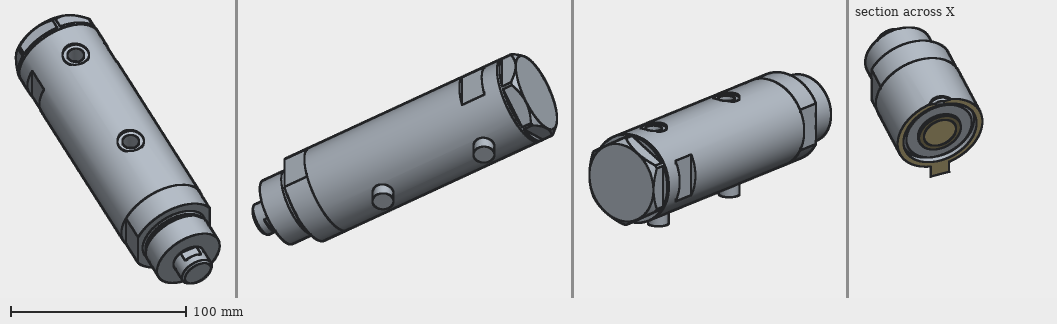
import cadquery as cq
import math


hex_end_x = 9.0
plug_flange_end_x = 10.7
plug_stem_end_x = 34.7
piston_end_x = 97.5
gland_stem_start_x = 102.5
gland_seat_start_x = 105.5
housing_end_x = 139.0
gland_flange_end_x = 154.2
nose_end_x = 172.5
rod_end_x = 184.4

outer_radius = 26.0
bore_radius = 13.0
seat_radius = 22.1
rod_radius = 9.5

gland_end_chamfer = 2.2

across_flats = 46.0
flat_length = 15.0
housing_flat_start_x = 20.8

hex_face_radius = 22.9
hex_chamfer = outer_radius - hex_face_radius

port_positions_x = (30.6, 99.8)
port_radius = 4.8
spotface_radius = 7.5
spotface_depth = 1.3

spigot_positions_x = (35.0, 102.3)
spigot_diameter = 12.0
spigot_bottom_z = -33.4

nose_radius = 20.1
groove_radius = 18.8
groove_floor_start_x = 155.3
groove_floor_end_x = 156.4
nose_start_x = 158.0

tip_across_flats = 16.2
tip_flat_end_x = 178.5
tip_chamfer = 1.3


def cylinder_x(radius, start_x, end_x):
    """Solid cylinder on the X axis."""
    return cq.Workplane("YZ", origin=(start_x, 0, 0)).circle(radius).extrude(end_x - start_x)


def cylinder_z(radius, x, start_z, end_z):
    """Solid upright cylinder that crosses the X axis."""
    return cq.Workplane("XY", origin=(x, 0, start_z)).circle(radius).extrude(end_z - start_z)


def side_cutters(inner_width, start_x, end_x):
    """Two blocks that leave parallel flats facing -Y and +Y."""
    length = end_x - start_x
    offset = (inner_width + outer_radius) / 2
    return (
        cq.Workplane("YZ", origin=(start_x, 0, 0))
        .pushPoints([(-offset, 0), (offset, 0)])
        .rect(outer_radius, 2 * outer_radius)
        .extrude(length)
    )


def make_housing():
    """Stepped-bore barrel with side flats, two spotfaced ports and two spigots."""
    housing = cylinder_x(outer_radius, plug_flange_end_x, housing_end_x)
    housing = housing.cut(
        side_cutters(across_flats, housing_flat_start_x, housing_flat_start_x + flat_length)
    )
    for x in spigot_positions_x:
        housing = housing.union(cylinder_z(spigot_diameter / 2, x, spigot_bottom_z, 0))
    for x in port_positions_x:
        housing = housing.cut(cylinder_z(port_radius, x, 0, outer_radius))
        housing = housing.cut(
            cylinder_z(spotface_radius, x, outer_radius - spotface_depth, outer_radius)
        )
    housing = housing.cut(cylinder_x(bore_radius, plug_flange_end_x, housing_end_x))
    return housing.cut(cylinder_x(seat_radius, gland_stem_start_x, housing_end_x))


def make_plug():
    """Chamfered hexagon head, round flange and a stem that closes the bore."""
    hexagon = (
        cq.Workplane("YZ")
        .polygon(6, across_flats / math.cos(math.pi / 6))
        .extrude(hex_end_x)
        .rotate((0, 0, 0), (1, 0, 0), 30)
    )
    chamfered_blank = cylinder_x(outer_radius, 0, hex_end_x).faces("<X").chamfer(hex_chamfer)
    flange = cylinder_x(outer_radius, hex_end_x, plug_flange_end_x)
    stem = cylinder_x(bore_radius, plug_flange_end_x, plug_stem_end_x)
    return hexagon.intersect(chamfered_blank).union(flange).union(stem)


def make_gland():
    """Rod guide: stem in the bore, chamfered seat, flange with flats, relief groove and nose."""
    profile = [
        (gland_stem_start_x, rod_radius),
        (gland_stem_start_x, bore_radius),
        (gland_seat_start_x, bore_radius),
        (gland_seat_start_x, seat_radius - gland_end_chamfer),
        (gland_seat_start_x + gland_end_chamfer, seat_radius),
        (housing_end_x, seat_radius),
        (housing_end_x, outer_radius),
        (gland_flange_end_x, outer_radius),
        (gland_flange_end_x, nose_radius),
        (groove_floor_start_x, groove_radius),
        (groove_floor_end_x, groove_radius),
        (nose_start_x, nose_radius),
        (nose_end_x, nose_radius),
        (nose_end_x, rod_radius),
    ]
    gland = cq.Workplane("XZ").polyline(profile).close().revolve(360, (0, 0, 0), (1, 0, 0))
    return gland.cut(side_cutters(across_flats, housing_end_x, gland_flange_end_x))


def make_rod():
    """Piston and rod in one piece, with wrench flats on the protruding tip."""
    piston = cylinder_x(bore_radius, plug_stem_end_x, piston_end_x)
    rod = cylinder_x(rod_radius, piston_end_x, rod_end_x).faces(">X").chamfer(tip_chamfer)
    tip_cutters = side_cutters(tip_across_flats, nose_end_x, tip_flat_end_x)
    return rod.cut(tip_cutters.rotate((0, 0, 0), (1, 0, 0), 90)).union(piston)


housing = make_housing()
plug = make_plug()
gland = make_gland()
rod = make_rod()

result = cq.Compound.makeCompound([housing.val(), plug.val(), gland.val(), rod.val()])